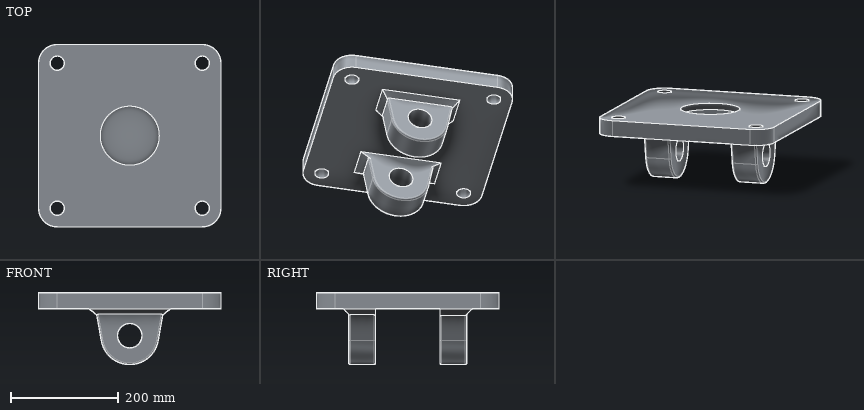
import cadquery as cq
import math

plate_side = 340.0
plate_thickness = 30.0
plate_corner_radius = 35.0
bolt_hole_spacing = 270.0
bolt_hole_diameter = 26.0
recess_diameter = 110.0
recess_depth = 12.0

lug_gap = 120.0
lug_thickness = 50.0
lug_length = 104.0
lug_radius = 54.0
lug_flank_angle = math.radians(10.0)
lug_edge_round = 3.0
pin_hole_diameter = 45.0

bead_leg = 10.0
wide_bead_width = 12.8
wide_bead_height = 11.0

pin_height = lug_radius - lug_length
lug_inner_y = lug_gap / 2
lug_outer_y = lug_inner_y + lug_thickness
tangent_x = lug_radius * math.cos(lug_flank_angle)
tangent_z = pin_height - lug_radius * math.sin(lug_flank_angle)
flank_slope = math.tan(lug_flank_angle)
lug_root_x = tangent_x - tangent_z * flank_slope
even_bead_ratio = math.tan(math.radians(45.0))
wide_bead_ratio = wide_bead_width / wide_bead_height + flank_slope


def make_plate():
    """Square plate with rounded corners, four bolt holes and a round recess on top."""
    plate = (
        cq.Workplane("XY")
        .rect(plate_side, plate_side)
        .extrude(plate_thickness)
        .edges("|Z")
        .fillet(plate_corner_radius)
    )
    return (
        plate.faces(">Z")
        .workplane()
        .rect(bolt_hole_spacing, bolt_hole_spacing, forConstruction=True)
        .vertices()
        .hole(bolt_hole_diameter)
        .faces(">Z")
        .workplane()
        .circle(recess_diameter / 2)
        .cutBlind(-recess_depth)
    )


def make_lug():
    """Tapered lug with a round tip on the -Y side, its long edges rounded."""
    lug = (
        cq.Workplane("XZ", origin=(0, -lug_inner_y, 0))
        .moveTo(-lug_root_x, 0)
        .lineTo(-tangent_x, tangent_z)
        .threePointArc((0, -lug_length), (tangent_x, tangent_z))
        .lineTo(lug_root_x, 0)
        .close()
        .extrude(lug_thickness)
    )
    outline = lug.faces("<Y or >Y").edges("not(>Z)")
    return outline.fillet(lug_edge_round)


def make_bead(flank_top_x, flank_slope_ratio):
    """Bead flush with the inner face, sloped at 45 degrees on the outer face.

    On the flanks it starts at flank_top_x and narrows by flank_slope_ratio per unit of depth.
    """
    depth = 2 * bead_leg
    bottom_x = flank_top_x - depth * flank_slope_ratio
    top_y = lug_outer_y + bead_leg
    bottom_y = top_y - depth
    across = (
        cq.Workplane("XZ")
        .polyline([(-flank_top_x, 0), (flank_top_x, 0), (bottom_x, -depth), (-bottom_x, -depth)])
        .close()
        .extrude(top_y)
    )
    along = (
        cq.Workplane("YZ")
        .polyline([(-lug_inner_y, 0), (-top_y, 0), (-bottom_y, -depth), (-lug_inner_y, -depth)])
        .close()
        .extrude(flank_top_x, both=True)
    )
    return across.intersect(along)


def make_pin_hole():
    """Cylinder through both lugs."""
    return (
        cq.Workplane("XZ", origin=(0, 0, pin_height))
        .circle(pin_hole_diameter / 2)
        .extrude(lug_outer_y, both=True)
    )


lug = make_lug()
front_lug = lug.union(make_bead(lug_root_x + wide_bead_width, wide_bead_ratio))
rear_lug = lug.union(make_bead(lug_root_x + bead_leg, even_bead_ratio)).mirror("XZ")
result = make_plate().union(front_lug).union(rear_lug).cut(make_pin_hole())